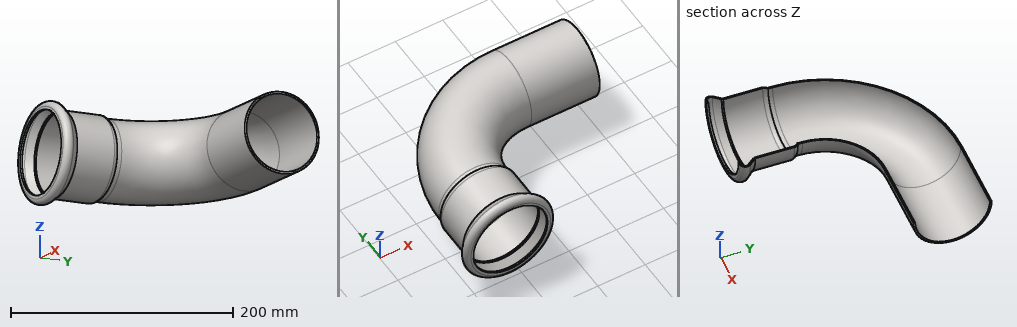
import cadquery as cq
import math

pipe_radius = 76.0 / 2
pipe_bore_radius = 72.0 / 2
wall = pipe_radius - pipe_bore_radius

bend_radius = 94.7
spigot_length = 72.2
bend_start = 62.27

socket_bore_radius = 76.7 / 2
socket_radius = socket_bore_radius + wall
shoulder_start = 53.5
shoulder_end = 58.0

bead_outer_radius = 94.7 / 2
bead_section_radius = 5.25
lip_radius = 78.2 / 2
flare_end = 15.9


def bead_point(section_radius, angle):
    """Point on a circle around the centre of the bead section."""
    centre_radius = bead_outer_radius - bead_section_radius
    return (
        centre_radius + section_radius * math.cos(angle),
        bead_section_radius + section_radius * math.sin(angle),
    )


def flare_tangent_angle():
    """Angle at which the outside of the flare meets the bead tangentially."""
    centre_r, centre_y = bead_point(0, 0)
    offset_r = socket_radius - centre_r
    offset_y = flare_end - centre_y
    distance = math.hypot(offset_r, offset_y)
    return math.atan2(offset_y, offset_r) - math.acos(bead_section_radius / distance)


def shoulder_midpoint(large_radius, small_radius):
    """Middle of a round shoulder that is tangent to the larger cylinder."""
    drop = large_radius - small_radius
    length = shoulder_end - shoulder_start
    arc_radius = (length**2 + drop**2) / (2 * drop)
    half_angle = math.asin(length / arc_radius) / 2
    return (
        large_radius - arc_radius * (1 - math.cos(half_angle)),
        shoulder_start + arc_radius * math.sin(half_angle),
    )


def revolve_socket(profile):
    """Turn a closed radius/height profile around the socket axis."""
    return profile.close().revolve(360, (0, 0, 0), (0, 1, 0))


def socket_body():
    """Solid outside of the socket, its flare and its bead."""
    profile = (
        cq.Workplane("XY")
        .lineTo(*bead_point(bead_section_radius, -math.pi / 2))
        .threePointArc(
            bead_point(bead_section_radius, 0),
            bead_point(bead_section_radius, flare_tangent_angle()),
        )
        .lineTo(socket_radius, flare_end)
        .lineTo(socket_radius, shoulder_start)
        .threePointArc(
            shoulder_midpoint(socket_radius, pipe_radius),
            (pipe_radius, shoulder_end),
        )
        .lineTo(pipe_radius, bend_start)
        .lineTo(0, bend_start)
    )
    return revolve_socket(profile)


def socket_cavity():
    """Mouth, seal groove, short land as wide as the lip, and stepped bore."""
    angle = flare_tangent_angle()
    groove_section_radius = bead_section_radius - wall
    tangent_r, tangent_y = bead_point(groove_section_radius, angle)
    land_start = tangent_y + (tangent_r - lip_radius) / math.tan(angle)
    profile = (
        cq.Workplane("XY")
        .lineTo(lip_radius, 0)
        .lineTo(lip_radius, wall)
        .lineTo(*bead_point(groove_section_radius, -math.pi / 2))
        .threePointArc(bead_point(groove_section_radius, 0), (tangent_r, tangent_y))
        .lineTo(lip_radius, land_start)
        .lineTo(lip_radius, flare_end)
        .lineTo(socket_bore_radius, flare_end)
        .lineTo(socket_bore_radius, shoulder_start)
        .threePointArc(
            shoulder_midpoint(socket_bore_radius, pipe_bore_radius),
            (pipe_bore_radius, shoulder_end),
        )
        .lineTo(pipe_bore_radius, bend_start)
        .lineTo(0, bend_start)
    )
    return revolve_socket(profile)


def bend_and_spigot(radius):
    """Solid quarter bend followed by the straight spigot along +X."""
    bend = (
        cq.Workplane("XZ", origin=(0, bend_start, 0))
        .circle(radius)
        .revolve(90, (bend_radius, 2.1, 0), (bend_radius, 0, 0))
    )
    spigot = (
        cq.Workplane("YZ", origin=(bend_radius, bend_start + bend_radius, 0))
        .circle(radius)
        .extrude(spigot_length)
    )
    return bend.union(spigot)


outside = socket_body().union(bend_and_spigot(pipe_radius))
result = outside.cut(socket_cavity()).cut(bend_and_spigot(pipe_bore_radius))